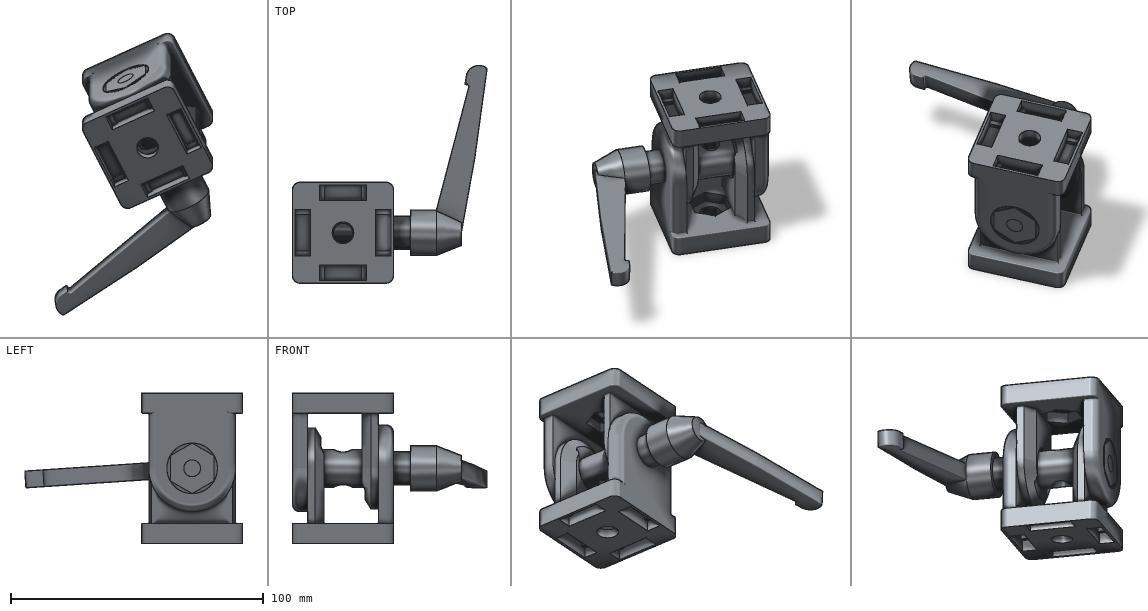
import cadquery as cq
import math


overall_length = 86.2

plate_size = 40.0
half_size = plate_size / 2
plate_thickness = 8.0
plate_corner_radius = 3.0
outer_z = 29.78
inner_z = outer_z - plate_thickness
plate_edge_radius = 0.4

outer_arm_thickness = 6.0
outer_arm_radius = 17.15
outer_arm_fillet = 3.0
inner_arm_thickness = 6.5
inner_arm_radius = 16.0
inner_arm_flank = 2.9
inner_arm_top_radius = 10.3
arm_root_fillet = 0.35
root_margin = 0.01
root_side_clearance = 0.9
barrel_seat_radius = 8.8
barrel_seat_depth = 1.2

pocket_count = 4
pocket_length = 18.45
pocket_width = 6.1
pocket_edge_gap = 1.0
pocket_shelf_length = 2.0
pocket_shelf_depth = 4.5
pocket_depth = 6.0
plate_hole_diameter = 8.5
plate_hex_diameter = 16.8
plate_hex_depth = 4.2
hex_turn = 30

nut_diameter = 20.0
nut_thickness = 4.0
nut_ring_depth = 0.4
stud_diameter = 8.0
stud_end_diameter = 6.6
barrel_diameter = 15.0
barrel_cross_hole_diameter = 7.5

collar_diameter = 13.2
hub_start_x = 26.7
hub_cone_x = 37.0
hub_end_x = 46.8
hub_diameter = 18.0
hub_end_diameter = 10.2
stud_depth_in_hub = 10.3
lever_tilt = 3.83
handle_thickness = 6.7
handle_edge_radius = 0.4
handle_tip_radius = 5.0
handle_tip_x = 53.7
handle_tip_start_angle = 168
handle_tip_end_angle = 49
handle_hook_point = (48.3, 58.95)
handle_hook_arc_start = (49.2, 58.8)
handle_hook_arc_middle = (49.65, 58.5)
handle_neck_point = (49.8, 58.0)
handle_back_bend = (52.15, 29.7)

outer_arm_inside_x = half_size - outer_arm_thickness
inner_arm_inside_x = outer_arm_inside_x - inner_arm_thickness
barrel_end_x = inner_arm_inside_x + barrel_seat_depth

tilt_angle = math.radians(lever_tilt)
tip_wall_top = handle_thickness / 2 - handle_edge_radius
tip_reach = overall_length - half_size - tip_wall_top * math.sin(tilt_angle)
handle_tip_y = tip_reach / math.cos(tilt_angle) - handle_tip_radius


def rod(diameter, start_x, end_x):
    """Cylinder on the pivot axis."""
    return cq.Workplane("YZ").workplane(offset=start_x).circle(diameter / 2).extrude(end_x - start_x)


def hex_prism(corner_diameter, start_x, end_x):
    """Hexagonal prism on the pivot axis with corners pointing along Z."""
    prism = cq.Workplane("YZ").workplane(offset=start_x).polygon(6, corner_diameter)
    return prism.extrude(end_x - start_x).rotate((0, 0, 0), (1, 0, 0), hex_turn)


def u_outline(radius, start_x, root_z):
    """U shape in the YZ plane: round below the pivot axis, straight up to root_z."""
    return (
        cq.Workplane("YZ").workplane(offset=start_x)
        .moveTo(-radius, root_z)
        .lineTo(-radius, 0)
        .threePointArc((0, -radius), (radius, 0))
        .lineTo(radius, root_z)
        .close()
    )


def make_plate():
    return (
        cq.Workplane("XY").workplane(offset=inner_z)
        .rect(plate_size, plate_size)
        .extrude(plate_thickness)
        .edges("|Z").fillet(plate_corner_radius)
        .faces("<Z").edges().fillet(plate_edge_radius)
    )


def make_outer_arm(root_z):
    arm = u_outline(outer_arm_radius, -half_size, root_z).extrude(outer_arm_thickness)
    return arm.faces("<X").edges("not(>Z)").fillet(outer_arm_fillet)


def make_inner_arm(root_z):
    arm = u_outline(inner_arm_radius, inner_arm_inside_x, root_z).extrude(inner_arm_thickness)
    bevel_height = inner_arm_thickness - inner_arm_flank
    bevel_width = inner_arm_radius - inner_arm_top_radius
    return arm.faces("<X").edges("not(>Z)").chamfer(bevel_height, bevel_width)


def make_barrel_seat():
    """Slot with a round end at the pivot, running out through the tip of the inner arm."""
    seat = rod(2 * barrel_seat_radius, inner_arm_inside_x, barrel_end_x)
    runout = cq.Workplane("XY").box(
        barrel_seat_depth, 2 * barrel_seat_radius, inner_arm_radius, centered=(False, True, False)
    )
    return seat.union(runout.translate((inner_arm_inside_x, 0, -inner_arm_radius)))


def make_end_pocket():
    """Long pocket beside the +Y plate side, shallower at both ends."""
    center_y = half_size - pocket_edge_gap - pocket_width / 2
    deep_length = pocket_length - 2 * pocket_shelf_length
    top = cq.Workplane("XY").workplane(offset=outer_z).center(0, center_y)
    shelf = top.rect(pocket_length, pocket_width).extrude(-pocket_shelf_depth)
    deep = top.rect(deep_length, pocket_width).extrude(-pocket_depth)
    return shelf.union(deep)


def make_plate_hole():
    """Screw hole from the outer face with a hexagonal seat on the inner face."""
    inner_face = cq.Workplane("XY").workplane(offset=inner_z)
    hole = inner_face.circle(plate_hole_diameter / 2).extrude(plate_thickness)
    seat = (
        inner_face
        .polygon(6, plate_hex_diameter)
        .extrude(plate_hex_depth)
        .rotate((0, 0, 0), (0, 0, 1), hex_turn)
    )
    return hole.union(seat)


def make_hinge_half():
    """Upper half: plate on top, outer arm at -X, inner arm at +X."""
    root_z = inner_z + 2 * plate_edge_radius
    half = make_plate().union(make_outer_arm(root_z)).union(make_inner_arm(root_z))
    arm_roots = cq.selectors.BoxSelector(
        (outer_arm_fillet - half_size, -half_size, inner_z - root_margin),
        (half_size - root_side_clearance, half_size, inner_z + root_margin),
    )
    half = half.edges(arm_roots).edges("#Z").fillet(arm_root_fillet)
    for turn in range(pocket_count):
        half = half.cut(make_end_pocket().rotate((0, 0, 0), (0, 0, 1), 360 / pocket_count * turn))
    half = half.cut(make_plate_hole())
    half = half.cut(make_barrel_seat())
    return half.cut(rod(stud_diameter, -half_size, half_size))


def make_nut():
    nut = hex_prism(nut_diameter, -half_size, nut_thickness - half_size)
    return nut.cut(rod(stud_end_diameter, -half_size, half_size))


def make_stud():
    thread = rod(stud_end_diameter, -half_size, nut_thickness - half_size)
    shank = rod(stud_diameter, nut_thickness - half_size, hub_start_x + stud_depth_in_hub)
    return thread.union(shank)


def make_barrel():
    barrel = rod(barrel_diameter, -barrel_end_x, barrel_end_x)
    cross_hole = (
        cq.Workplane("XY")
        .circle(barrel_cross_hole_diameter / 2)
        .extrude(barrel_diameter, both=True)
    )
    return barrel.cut(rod(stud_diameter, -barrel_end_x, barrel_end_x)).cut(cross_hole)


def make_collar():
    collar = rod(collar_diameter, half_size, hub_start_x)
    return collar.cut(rod(stud_diameter, half_size, hub_start_x))


def tip_point(angle):
    """Point on the round handle tip at the given angle in degrees."""
    turn = math.radians(angle)
    return (
        handle_tip_x + handle_tip_radius * math.cos(turn),
        handle_tip_y + handle_tip_radius * math.sin(turn),
    )


def make_handle():
    """Flat arm in the XY plane with a hooked round tip."""
    handle = (
        cq.Workplane("XY").workplane(offset=-handle_thickness / 2)
        .moveTo(hub_cone_x, 0)
        .lineTo(hub_cone_x, hub_diameter / 2)
        .lineTo(*handle_neck_point)
        .threePointArc(handle_hook_arc_middle, handle_hook_arc_start)
        .lineTo(*handle_hook_point)
        .lineTo(*tip_point(handle_tip_start_angle))
        .threePointArc(tip_point(90), tip_point(handle_tip_end_angle))
        .lineTo(*handle_back_bend)
        .lineTo(hub_end_x, 0)
        .close()
        .extrude(handle_thickness)
    )
    return handle.faces("|Z").edges().fillet(handle_edge_radius)


def make_lever():
    hub = (
        cq.Workplane("XY")
        .moveTo(hub_start_x, 0)
        .lineTo(hub_start_x, hub_diameter / 2)
        .lineTo(hub_cone_x, hub_diameter / 2)
        .lineTo(hub_end_x, hub_end_diameter / 2)
        .lineTo(hub_end_x, 0)
        .close()
        .revolve(360, (0, 0, 0), (1, 0, 0))
    )
    lever = hub.union(make_handle())
    lever = lever.cut(rod(stud_diameter, hub_start_x, hub_start_x + stud_depth_in_hub))
    return lever.rotate((0, 0, 0), (1, 0, 0), -lever_tilt)


upper_half = make_hinge_half()
lower_half = upper_half.rotate((0, 0, 0), (0, 1, 0), 180)

nut = make_nut()
nut_ring = rod(nut_diameter, -half_size, nut_ring_depth - half_size)
nut_seat = hex_prism(nut_diameter, -half_size, nut_thickness - half_size)
upper_half = upper_half.cut(nut_ring).cut(nut_seat)

stud = make_stud()
barrel = make_barrel()
collar = make_collar()
lever = make_lever()

result = cq.Compound.makeCompound([
    upper_half.solids().val(),
    lower_half.solids().val(),
    nut.solids().val(),
    stud.solids().val(),
    barrel.solids().val(),
    collar.solids().val(),
    lever.solids().val(),
])